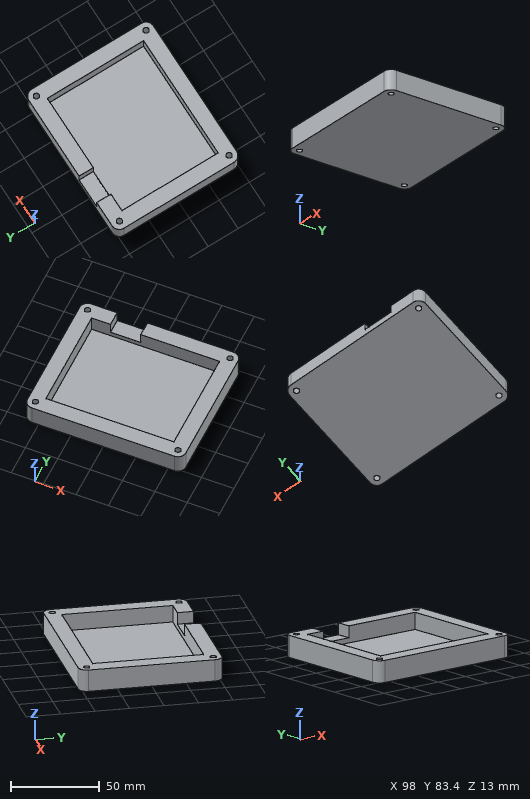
import cadquery as cq

length = 98.0
width = 83.4
height = 13.0
corner_radius = 5.0

wall = 9.5
pocket_depth = 10.0

notch_start = 21.2
notch_width = 18.6
notch_depth = 7.0

hole_diameter = 3.4
hole_spacing_x = length - 2 * corner_radius
hole_spacing_y = width - 2 * corner_radius


def make_body():
    """Solid block with rounded vertical edges, standing on Z = 0."""
    block = cq.Workplane("XY").box(length, width, height, centered=(True, True, False))
    return block.edges("|Z").fillet(corner_radius)


def make_pocket():
    """Cutter for the central pocket."""
    return (
        cq.Workplane("XY", origin=(0, 0, height))
        .rect(length - 2 * wall, width - 2 * wall)
        .extrude(-pocket_depth)
    )


def make_notch():
    """Cutter that opens the back wall from the pocket to the outside."""
    notch_center_x = -length / 2 + notch_start + notch_width / 2
    notch_center_y = width / 2 - wall / 2
    return (
        cq.Workplane("XY", origin=(notch_center_x, notch_center_y, height))
        .rect(notch_width, wall)
        .extrude(-notch_depth)
    )


def make_screw_holes():
    """Cutters for the four through holes."""
    return (
        cq.Workplane("XY")
        .rect(hole_spacing_x, hole_spacing_y, forConstruction=True)
        .vertices()
        .circle(hole_diameter / 2)
        .extrude(height)
    )


result = make_body().cut(make_pocket()).cut(make_notch()).cut(make_screw_holes())